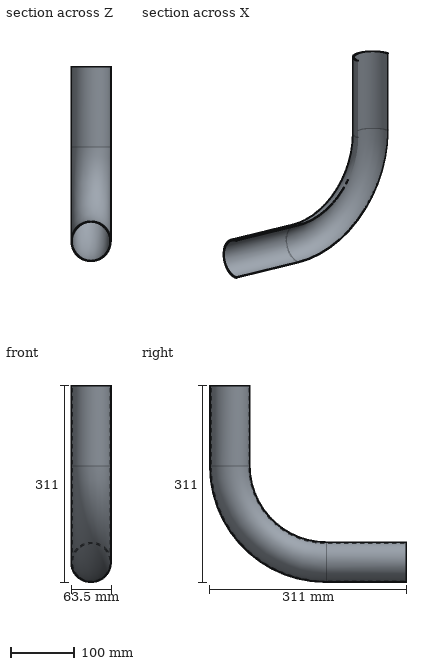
import cadquery as cq

overall_length = 311.0
outer_diameter = 63.5
inner_diameter = 59.5
bend_radius = 152.5

leg_length = overall_length - outer_diameter / 2 - bend_radius


def tube_ring(workplane):
    """Annular tube section drawn at the origin of the workplane."""
    return workplane.circle(outer_diameter / 2).circle(inner_diameter / 2)


upright_leg = tube_ring(cq.Workplane("XY", origin=(0, 0, bend_radius))).extrude(leg_length)

level_leg = tube_ring(cq.Workplane("XZ", origin=(0, bend_radius, 0))).extrude(-leg_length)

bend = tube_ring(cq.Workplane("XY", origin=(0, 0, bend_radius))).revolve(
    90, (0, bend_radius, 0), (1, bend_radius, 0)
)

result = bend.union(upright_leg).union(level_leg)